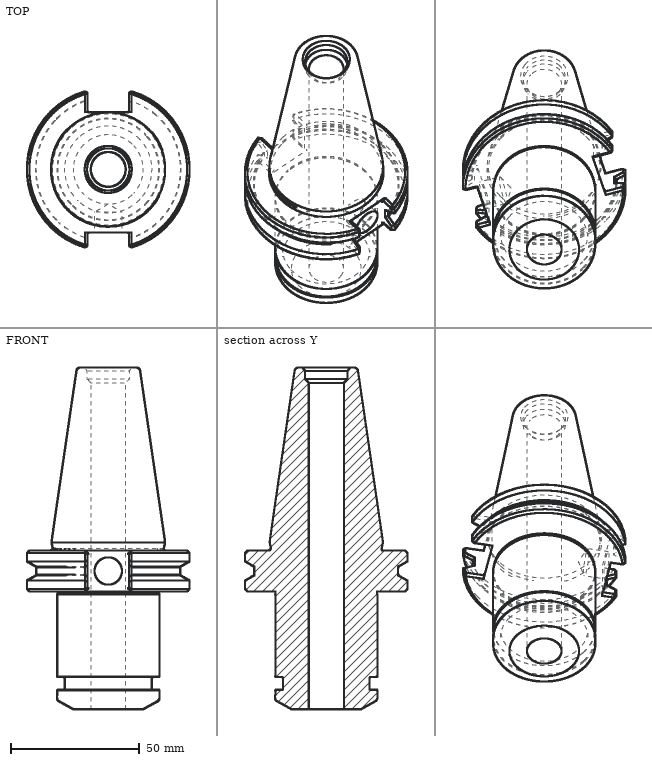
import cadquery as cq
import math


gauge_diameter = 44.45
taper_ratio = 7 / 24
taper_length = 68.2
taper_tip_radius = 1.6

relief_end_diameter = 43.4
relief_fillet_radius = 0.7

flange_diameter = 63.55
flange_top_z = -3.2
flange_bottom_z = -19.2
flange_chamfer = 1.0
groove_z = -11.2
groove_floor_diameter = 56.25
groove_floor_width = 3.3
groove_fillet_radius = 0.5
groove_flank_angle = 29.0

body_diameter = 40.0
collar_diameter = 39.7
collar_length = 0.8
collar_cone_length = 0.4
body_bottom_z = -52.6
neck_diameter = 34.0
neck_fillet_radius = 0.5

nut_top_z = -57.5
nut_bottom_z = -65.17
nut_face_diameter = 27.2
nut_cone_angle = 29.0
nut_edge_radius = 1.5

edge_chamfer = 0.3

bore_diameter = 13.5
counterbore_diameter = 16.5
counterbore_depth = 4.5
bore_cone_depth = 1.5
mouth_diameter = 18.4
mouth_depth = 1.45

slot_width = 16.1
slot_corner_radius = 0.4
slot_edge_chamfer = 1.0
front_slot_floor = 24.7
back_slot_floor = 22.35

dimple_diameter = 10.7
dimple_depth = 8.0
dimple_tip_angle = 118.0

tolerance = 1e-4


def round_rim(body, rim_radius, rim_z, fillet_radius):
    """Fillet the circular edges of the given radius at height rim_z."""

    def is_rim(edge):
        return abs(edge.Center().z - rim_z) < tolerance and abs(edge.radius() - rim_radius) < tolerance

    return body.edges("%CIRCLE").filter(is_rim).fillet(fillet_radius)


def make_body():
    """Revolve the outer outline about Z."""
    gauge_r = gauge_diameter / 2
    tip_r = gauge_r - taper_length * taper_ratio / 2
    relief_r = relief_end_diameter / 2
    flange_r = flange_diameter / 2
    groove_r = groove_floor_diameter / 2
    body_r = body_diameter / 2
    collar_r = collar_diameter / 2
    neck_r = neck_diameter / 2
    nut_face_r = nut_face_diameter / 2

    groove_half_floor = groove_floor_width / 2
    groove_flank_slope = math.tan(math.radians(groove_flank_angle))
    groove_half_mouth = groove_half_floor + (flange_r - groove_r) * groove_flank_slope
    collar_bottom_z = flange_bottom_z - collar_length
    nut_cone_z = nut_bottom_z + (body_r - nut_face_r) * math.tan(math.radians(nut_cone_angle))

    outline = (
        cq.Workplane("XZ")
        .moveTo(0, taper_length)
        .lineTo(tip_r, taper_length)
        .lineTo(gauge_r, 0)
        .lineTo(relief_r, flange_top_z + relief_fillet_radius)
        .radiusArc((relief_r + relief_fillet_radius, flange_top_z), -relief_fillet_radius)
        .lineTo(flange_r - flange_chamfer, flange_top_z)
        .lineTo(flange_r, flange_top_z - flange_chamfer)
        .lineTo(flange_r, groove_z + groove_half_mouth)
        .lineTo(groove_r, groove_z + groove_half_floor)
        .lineTo(groove_r, groove_z - groove_half_floor)
        .lineTo(flange_r, groove_z - groove_half_mouth)
        .lineTo(flange_r, flange_bottom_z + flange_chamfer)
        .lineTo(flange_r - flange_chamfer, flange_bottom_z)
        .lineTo(collar_r, flange_bottom_z)
        .lineTo(collar_r, collar_bottom_z)
        .lineTo(body_r, collar_bottom_z - collar_cone_length)
        .lineTo(body_r, body_bottom_z + edge_chamfer)
        .lineTo(body_r - edge_chamfer, body_bottom_z)
        .lineTo(neck_r, body_bottom_z)
        .lineTo(neck_r, nut_top_z)
        .lineTo(body_r - edge_chamfer, nut_top_z)
        .lineTo(body_r, nut_top_z - edge_chamfer)
        .lineTo(body_r, nut_cone_z)
        .lineTo(nut_face_r, nut_bottom_z)
        .lineTo(0, nut_bottom_z)
        .close()
    )
    body = outline.revolve(360, (0, 0, 0), (0, 1, 0))
    body = round_rim(body, tip_r, taper_length, taper_tip_radius)
    for neck_edge_z in (body_bottom_z, nut_top_z):
        body = round_rim(body, neck_r, neck_edge_z, neck_fillet_radius)
    return round_rim(body, body_r, nut_cone_z, nut_edge_radius)


def make_bore():
    """Through bore with a counterbore and a chamfered mouth at the taper tip."""
    bore_r = bore_diameter / 2
    counterbore_r = counterbore_diameter / 2
    shoulder_z = taper_length - counterbore_depth
    return (
        cq.Workplane("XZ")
        .moveTo(0, taper_length)
        .lineTo(mouth_diameter / 2, taper_length)
        .lineTo(counterbore_r, taper_length - mouth_depth)
        .lineTo(counterbore_r, shoulder_z)
        .lineTo(bore_r, shoulder_z - bore_cone_depth)
        .lineTo(bore_r, nut_bottom_z)
        .lineTo(0, nut_bottom_z)
        .close()
        .revolve(360, (0, 0, 0), (0, 1, 0))
    )


def cut_slot(body, floor_distance, side):
    """Cut a drive slot on the -Y (side = -1) or +Y (side = +1) side of the flange.

    The wall edges are chamfered and the floor corners rounded.
    """
    slot_length = flange_diameter / 2 - floor_distance
    floor_y = side * floor_distance
    slot = (
        cq.Workplane("XY", origin=(0, 0, flange_bottom_z))
        .center(0, floor_y + side * slot_length / 2)
        .rect(slot_width, slot_length)
        .extrude(flange_top_z - flange_bottom_z)
    )

    def on_wall(face):
        center = face.Center()
        return abs(abs(center.x) - slot_width / 2) < tolerance and center.y * side > 0

    def at_floor(edge):
        return abs(edge.Center().y - floor_y) < tolerance

    def off_floor(edge):
        return not at_floor(edge)

    body = body.cut(slot)
    body = body.faces("|X").filter(on_wall).edges().filter(off_floor).chamfer(slot_edge_chamfer)
    corners = body.faces("|X").filter(on_wall).edges("|Z").filter(at_floor)
    return corners.fillet(slot_corner_radius)


def round_groove_floor(body):
    """Fillet both floor corners of the V groove."""
    half_floor = groove_floor_width / 2
    for edge_z in (groove_z - half_floor, groove_z + half_floor):
        body = round_rim(body, groove_floor_diameter / 2, edge_z, groove_fillet_radius)
    return body


def make_dimple():
    """Blind drilled hole, pointing toward the axis from the front slot floor."""
    radius = dimple_diameter / 2
    tip_depth = radius / math.tan(math.radians(dimple_tip_angle / 2))
    return (
        cq.Workplane("XY", origin=(0, 0, groove_z))
        .moveTo(0, -front_slot_floor)
        .lineTo(radius, -front_slot_floor)
        .lineTo(radius, -front_slot_floor + dimple_depth)
        .lineTo(0, -front_slot_floor + dimple_depth + tip_depth)
        .close()
        .revolve(360, (0, 0, 0), (0, 1, 0))
    )


holder = make_body()
holder = cut_slot(holder, front_slot_floor, -1)
holder = cut_slot(holder, back_slot_floor, 1)
holder = round_groove_floor(holder)
result = holder.cut(make_bore()).cut(make_dimple())